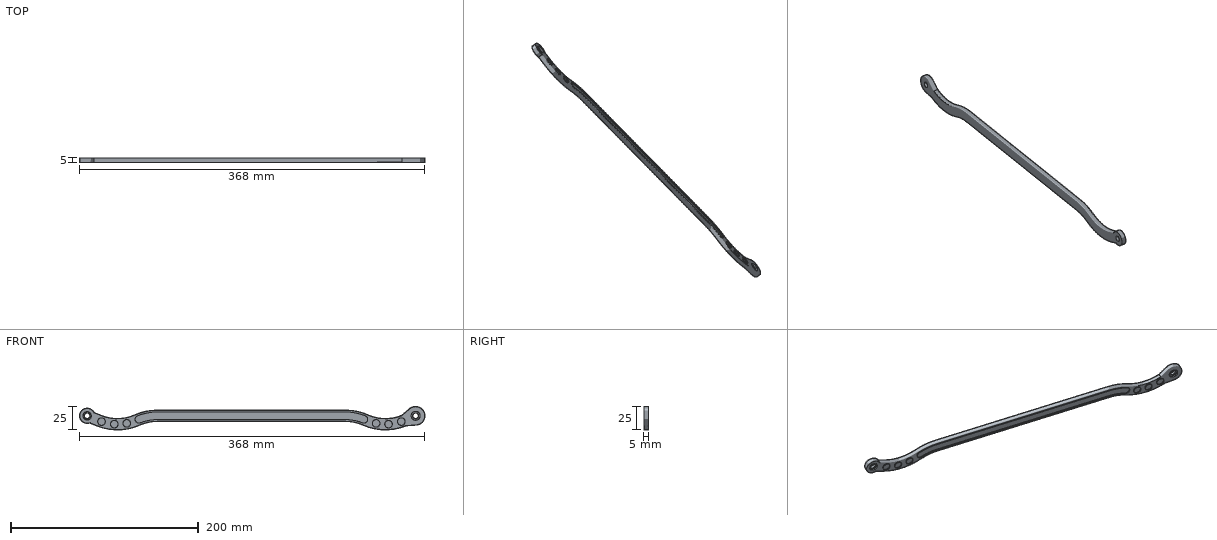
import cadquery as cq
import math


thickness = 5.0
band_width = 12.0
band_half = band_width / 2
edge_fillet = 0.5

left_eye_radius = 8.0
right_eye_radius = 10.0
overall_length = 368
overall_height = 25.0
eye_x = (overall_length - left_eye_radius - right_eye_radius) / 2

straight_half = 100.5
dip_x = 142.8
dip_depth = overall_height - right_eye_radius - band_half
bend_angle = 2 * math.atan2(dip_depth, dip_x - straight_half)
bend_radius = (dip_x - straight_half) / (2 * math.sin(bend_angle))
dip_center_z = bend_radius - dip_depth
eye_to_dip_center = math.hypot(eye_x - dip_x, dip_center_z)
neck_angle = math.atan2(eye_x - dip_x, dip_center_z) - math.acos(bend_radius / eye_to_dip_center)

slot_width = 8.0
slot_half = slot_width / 2
slot_end_angle = math.radians(22)
slot_depth = 1.0
dimple_radius = 4.0
dimple_depth = 1.0
dimple_offsets = [-10.0, 3.3, 17.0]

bore_radius = 3.0
left_counterbore_radius = 4.5
right_counterbore_radius = 4.8
counterbore_depth = 2.0


def crest_point(angle, side, offset=0):
    """Point on the crest arc, moved up from the centreline by offset."""
    radius = bend_radius + offset
    return (side * (straight_half + radius * math.sin(angle)), radius * math.cos(angle) - bend_radius)


def dip_point(angle, side, offset=0):
    """Point on the dip arc, moved up by offset; positive angles lead to the eye."""
    radius = bend_radius - offset
    return (side * (dip_x + radius * math.sin(angle)), dip_center_z - radius * math.cos(angle))


def neck_end(side, offset):
    """Corner of the straight neck beside the eye centre, moved up by offset."""
    return (side * (eye_x - offset * math.sin(neck_angle)), offset * math.cos(neck_angle))


def front_recess_plane(depth):
    """XZ sketch plane at the given depth behind the front face; extruding by depth reaches the front face."""
    return cq.Workplane("XZ", origin=(0, depth - thickness / 2, 0))


def full_depth_plane():
    return front_recess_plane(thickness)


def trace_band_edge(sketch, side, offset, outward):
    """Trace one long edge of the band from the middle out to the eye, or from the eye inward."""
    points = [
        crest_point(0, side, offset),
        crest_point(bend_angle / 2, side, offset),
        crest_point(bend_angle, side, offset),
        dip_point((neck_angle - bend_angle) / 2, side, offset),
        dip_point(neck_angle, side, offset),
        neck_end(side, offset),
    ]
    if outward:
        start, crest_middle, joint, dip_middle, dip_end, end = points
        sketch = sketch.lineTo(*start).threePointArc(crest_middle, joint)
        return sketch.threePointArc(dip_middle, dip_end).lineTo(*end)
    end, crest_middle, joint, dip_middle, dip_end, start = points
    sketch = sketch.lineTo(*start).lineTo(*dip_end).threePointArc(dip_middle, joint)
    return sketch.threePointArc(crest_middle, end)


def make_band():
    sketch = full_depth_plane().moveTo(0, band_half)
    sketch = trace_band_edge(sketch, 1, band_half, outward=True)
    sketch = trace_band_edge(sketch, 1, -band_half, outward=False)
    sketch = trace_band_edge(sketch, -1, -band_half, outward=True)
    sketch = trace_band_edge(sketch, -1, band_half, outward=False)
    return sketch.close().extrude(thickness)


def make_eye(side, radius):
    return full_depth_plane().center(side * eye_x, 0).circle(radius).extrude(thickness)


def right_eye_tangent_point(start, turn):
    """Point where a line from start touches the right eye; turn is +1 for the top, -1 for the bottom."""
    dx = start[0] - eye_x
    dz = start[1]
    angle = math.atan2(dz, dx) - turn * math.acos(right_eye_radius / math.hypot(dx, dz))
    return (eye_x + right_eye_radius * math.cos(angle), right_eye_radius * math.sin(angle))


def make_right_neck():
    """Flared neck: straight flanks from the end of the dip arc, tangent to the larger right eye."""
    top = dip_point(neck_angle, 1, band_half)
    bottom = dip_point(neck_angle, 1, -band_half)
    outline = [
        top,
        right_eye_tangent_point(top, 1),
        (eye_x, 0),
        right_eye_tangent_point(bottom, -1),
        bottom,
    ]
    return full_depth_plane().polyline(outline).close().extrude(thickness)


def trace_slot_end(sketch, side, offset):
    """Trace a slot end from the long edge at offset, round the tip, to the opposite long edge."""
    tip_x, tip_z = crest_point(slot_end_angle, side)
    tip = (tip_x + side * slot_half * math.cos(slot_end_angle), tip_z - slot_half * math.sin(slot_end_angle))
    sketch = sketch.lineTo(*crest_point(0, side, offset))
    sketch = sketch.threePointArc(
        crest_point(slot_end_angle / 2, side, offset), crest_point(slot_end_angle, side, offset)
    )
    sketch = sketch.threePointArc(tip, crest_point(slot_end_angle, side, -offset))
    return sketch.threePointArc(crest_point(slot_end_angle / 2, side, -offset), crest_point(0, side, -offset))


def make_slot():
    sketch = front_recess_plane(slot_depth).moveTo(0, slot_half)
    sketch = trace_slot_end(sketch, 1, slot_half)
    sketch = trace_slot_end(sketch, -1, -slot_half)
    return sketch.close().extrude(slot_depth)


def make_dimples():
    angles = [math.asin(offset / bend_radius) for offset in dimple_offsets]
    centers = [dip_point(angle, side) for side in (-1, 1) for angle in angles]
    return front_recess_plane(dimple_depth).pushPoints(centers).circle(dimple_radius).extrude(dimple_depth)


def make_eye_hole(side, counterbore_radius):
    bore = make_eye(side, bore_radius)
    counterbore = front_recess_plane(counterbore_depth).center(side * eye_x, 0).circle(counterbore_radius)
    return bore.union(counterbore.extrude(counterbore_depth))


body = make_band().union(make_right_neck()).union(make_eye(1, right_eye_radius)).clean()
body = body.faces("<Y or >Y").edges().fillet(edge_fillet)
body = body.union(make_eye(-1, left_eye_radius))

body = body.cut(make_slot()).cut(make_dimples())
body = body.cut(make_eye_hole(-1, left_counterbore_radius))
result = body.cut(make_eye_hole(1, right_counterbore_radius))